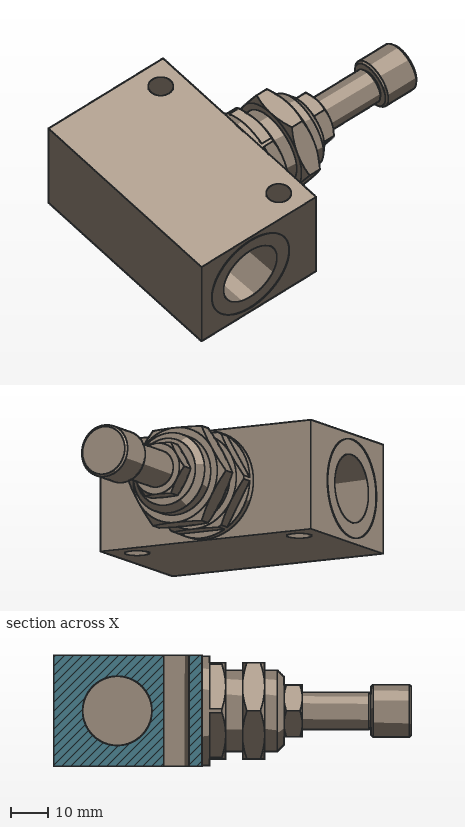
import cadquery as cq
import math

body_width = 65.0
body_depth = 40.0
body_height = 30.0
overall_length = 96.4

hole_diameter = 6.7
hole_spacing = 50.0
hole_inset = 6.9

port_diameter = 18.6
port_depth = 15.0
port_distance_from_front = 17.2
spotface_diameter = 27.0
spotface_depth = 0.2

collar_diameter = 29.5
collar_length = 2.0
large_flats = 26.0
base_hex_length = 4.3
neck_diameter = 22.0
neck_length = 22.1
neck_chamfer = 1.8
panel_nut_start = 10.9
panel_nut_length = 6.0
lock_nut_flats = 14.0
lock_nut_length = 4.9
stem_diameter = 10.1
knob_diameter = 14.2
knob_length = 10.9
small_chamfer = 0.6
hex_chamfer_angle = math.radians(30)

body_back = body_depth
stem_end = overall_length - knob_length


def axis_workplane(start):
    """Workplane across the adjuster axis at y = start, facing +Y."""
    return cq.Workplane(cq.Plane(origin=(0, start, 0), xDir=(1, 0, 0), normal=(0, 1, 0)))


def cylinder(start, length, diameter):
    """Round bar on the adjuster axis, running from y = start towards +Y."""
    return axis_workplane(start).circle(diameter / 2).extrude(length)


def hexagon(start, length, flats, chamfer_front=True):
    """Hexagon on the adjuster axis with flats facing +Z and -Z and conically chamfered corners."""
    corners = flats / math.cos(math.pi / 6)
    prism = axis_workplane(start).polygon(6, corners).extrude(length)

    flat_radius = flats / 2
    corner_radius = corners / 2
    cone_length = (corner_radius - flat_radius) * math.tan(hex_chamfer_angle)
    end = start + length
    outline = cq.Workplane("XY").moveTo(0, start)
    if chamfer_front:
        outline = outline.lineTo(flat_radius, start).lineTo(corner_radius, start + cone_length)
    else:
        outline = outline.lineTo(corner_radius, start)
    outline = outline.lineTo(corner_radius, end - cone_length).lineTo(flat_radius, end).lineTo(0, end)
    barrel = outline.close().revolve(360, (0, 0, 0), (0, 1, 0))
    return prism.intersect(barrel)


def valve_body():
    """Block with two vertical mounting holes and a blind port in each end."""
    block = cq.Workplane("XY").box(body_width, body_depth, body_height, centered=(True, False, True))
    hole_y = body_back - hole_inset
    hole_points = [(-hole_spacing / 2, hole_y), (hole_spacing / 2, hole_y)]
    hole_tools = cq.Workplane("XY").pushPoints(hole_points).circle(hole_diameter / 2)
    block = block.cut(hole_tools.extrude(body_height, both=True))
    for side in (-1, 1):
        face = cq.Plane(
            origin=(side * body_width / 2, port_distance_from_front, 0),
            xDir=(0, 1, 0),
            normal=(-side, 0, 0),
        )
        bore = cq.Workplane(face).circle(port_diameter / 2).extrude(port_depth)
        spotface = cq.Workplane(face).circle(spotface_diameter / 2).extrude(spotface_depth)
        block = block.cut(bore).cut(spotface)
    return block


def adjuster():
    """Collar with base hexagon, threaded neck with nuts, stem and knob."""
    collar_end = body_back + collar_length
    collar = cylinder(body_back, collar_length, collar_diameter)
    base_hex = hexagon(collar_end, base_hex_length, large_flats, chamfer_front=False)
    base_hex = base_hex.intersect(cylinder(collar_end, base_hex_length, collar_diameter))

    neck_end = body_back + neck_length
    neck = cylinder(body_back, neck_length, neck_diameter).faces(">Y").chamfer(neck_chamfer)
    panel_nut = hexagon(body_back + panel_nut_start, panel_nut_length, large_flats)
    lock_nut = hexagon(neck_end, lock_nut_length, lock_nut_flats)
    stem = cylinder(neck_end, stem_end - neck_end, stem_diameter).faces(">Y").chamfer(small_chamfer)
    knob = cylinder(stem_end, knob_length, knob_diameter).faces("<Y or >Y").chamfer(small_chamfer)
    return collar.union(base_hex).union(neck).union(panel_nut).union(lock_nut).union(stem).union(knob)


result = valve_body().union(adjuster())